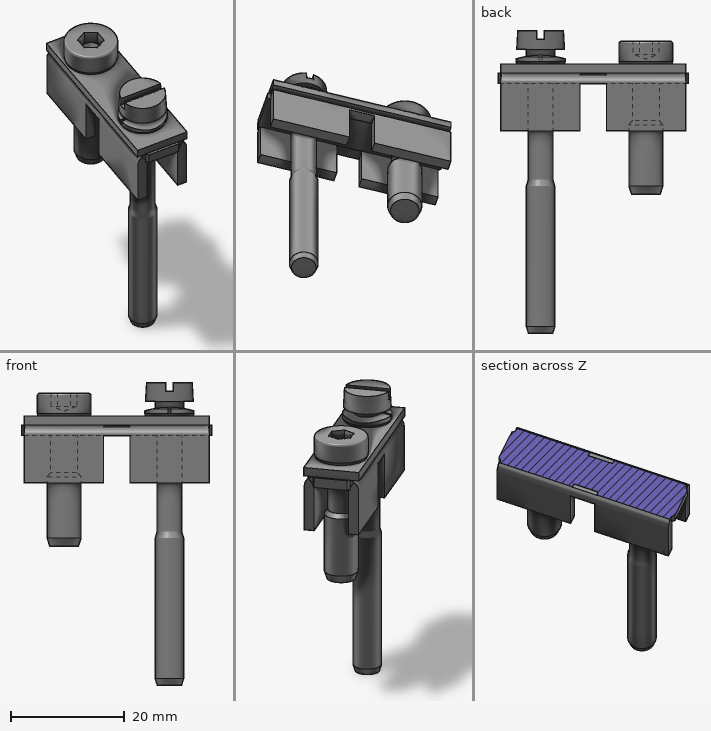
import cadquery as cq
import math


plate_length = 32.6
plate_width = 10.0
plate_thickness = 1.6

channel_width = 9.85
sheet_thickness = 1.8
bend_radius = 1.9
leg_bottom = -11.8
leg_gap = 4.6
channel_top = -plate_thickness
web_bottom = channel_top - sheet_thickness
bend_bottom = channel_top - bend_radius
inner_half_width = channel_width / 2 - sheet_thickness

overall_length = 33.5
tab_end_width = 5.95
tab_base_width = 6.7
corner_relief_reach = 0.15
corner_relief_half_width = 4.35
middle_relief_depth = 0.3
middle_relief_end_taper = 0.15

screw_offset = 9.3

socket_head_diameter = 9.55
socket_head_height = 4.05
socket_head_fillet = 0.55
socket_head_foot_height = 0.5
socket_head_foot_inset = 0.15
hex_across_flats = 4.0
hex_depth = 2.4
hex_cone_depth = 0.8
socket_neck_diameter = 4.75
socket_neck_end = -9.95
socket_shank_diameter = 6.0
socket_shank_start = -10.75
socket_tip_start = -21.55
socket_tip_diameter = 5.05
socket_screw_end = -22.95

overall_height = 53.3
slot_head_top = 5.85
slot_head_bottom = 2.55
slot_head_top_diameter = 8.1
slot_head_bottom_diameter = 8.5
slot_width = 1.3
slot_depth = 1.5
slot_shank_diameter = 5.05
slot_neck_diameter = 4.4
slot_neck_end = -20.4
slot_shank_start = -21.55
slot_tip_height = 1.15
slot_tip_diameter = 4.3
slot_screw_end = slot_head_top - overall_height

washer_diameter = 8.75
washer_foot_diameter = 8.3
washer_crown_diameter = 5.55
washer_rim_bottom = 0.4
washer_rim_top = 1.2
washer_side_height = 0.9
washer_height = 1.55
washer_split = 0.5


def revolve_profile(points, x):
    """Solid of revolution about the vertical axis at x, from (radius, z) points."""
    profile = cq.Workplane("XZ").polyline(points).close()
    return profile.revolve(360, (0, 0, 0), (0, 1, 0)).translate((x, 0, 0))


def make_plate():
    plate = cq.Workplane("XY").rect(plate_length, plate_width)
    return plate.extrude(-plate_thickness)


def make_channel():
    """U-shaped strip with rounded outer bends, sharp inner corners and a gap in both legs."""
    half_width = channel_width / 2
    bend_start = half_width - bend_radius
    mid_bend_y = bend_start + bend_radius * math.sqrt(0.5)
    mid_bend_z = bend_bottom + bend_radius * math.sqrt(0.5)
    channel = (
        cq.Workplane("YZ")
        .moveTo(-half_width, leg_bottom)
        .lineTo(-half_width, bend_bottom)
        .threePointArc((-mid_bend_y, mid_bend_z), (-bend_start, channel_top))
        .lineTo(bend_start, channel_top)
        .threePointArc((mid_bend_y, mid_bend_z), (half_width, bend_bottom))
        .lineTo(half_width, leg_bottom)
        .lineTo(inner_half_width, leg_bottom)
        .lineTo(inner_half_width, web_bottom)
        .lineTo(-inner_half_width, web_bottom)
        .lineTo(-inner_half_width, leg_bottom)
        .close()
        .extrude(plate_length / 2, both=True)
    )
    gap_height = bend_bottom - leg_bottom
    gap = cq.Workplane("XY", origin=(0, 0, leg_bottom)).rect(leg_gap, channel_width).extrude(gap_height)
    return channel.cut(gap)


def make_tab():
    """Tapered tab at the +X end of the web."""
    base_x = plate_length / 2
    end_x = overall_length / 2
    outline = [
        (0, -tab_end_width / 2),
        (base_x, -tab_base_width / 2),
        (end_x, -tab_end_width / 2),
        (end_x, tab_end_width / 2),
        (base_x, tab_base_width / 2),
        (0, tab_end_width / 2),
    ]
    tab = cq.Workplane("XY", origin=(0, 0, channel_top)).polyline(outline).close()
    return tab.extrude(-sheet_thickness)


def make_corner_relief():
    """Cut at the +X, +Y corner: a thin wedge off the end of the bend, above a sloped line."""
    base_x = plate_length / 2
    base_y = tab_base_width / 2
    wedge = (
        cq.Workplane("XY", origin=(0, 0, web_bottom))
        .moveTo(base_x, base_y)
        .lineTo(base_x, corner_relief_half_width)
        .lineTo(base_x - corner_relief_reach, corner_relief_half_width)
        .close()
        .extrude(sheet_thickness)
    )
    above_slope = (
        cq.Workplane("YZ")
        .moveTo(inner_half_width, web_bottom)
        .lineTo(corner_relief_half_width, channel_top)
        .lineTo(inner_half_width, channel_top)
        .close()
        .extrude(plate_length)
    )
    return wedge.intersect(above_slope)


def make_middle_relief():
    """Shallow step along the top of the +Y bend, between the legs."""
    half_length = leg_gap / 2
    floor = channel_top - middle_relief_depth
    outline = [
        (-half_length, floor),
        (half_length, floor),
        (half_length - middle_relief_end_taper, channel_top),
        (-half_length + middle_relief_end_taper, channel_top),
    ]
    step = cq.Workplane("XZ", origin=(0, tab_base_width / 2, 0)).polyline(outline).close()
    return step.extrude(-sheet_thickness)


def make_bridge():
    bridge = make_channel()
    tab = make_tab()
    bridge = bridge.union(tab).union(tab.mirror("YZ"))
    corner = make_corner_relief()
    corner_pair = corner.union(corner.mirror("XZ"))
    step = make_middle_relief()
    for relief in (corner_pair, corner_pair.mirror("YZ"), step, step.mirror("XZ")):
        bridge = bridge.cut(relief)
    return bridge


def make_socket_screw(x):
    head_radius = socket_head_diameter / 2
    foot_radius = head_radius - socket_head_foot_inset
    neck_radius = socket_neck_diameter / 2
    shank_radius = socket_shank_diameter / 2
    screw = revolve_profile(
        [
            (0, socket_head_height),
            (head_radius, socket_head_height),
            (head_radius, socket_head_foot_height),
            (foot_radius, 0),
            (neck_radius, 0),
            (neck_radius, socket_neck_end),
            (shank_radius, socket_shank_start),
            (shank_radius, socket_tip_start),
            (socket_tip_diameter / 2, socket_screw_end),
            (0, socket_screw_end),
        ],
        x,
    )
    screw = screw.faces(">Z").edges().fillet(socket_head_fillet)

    hex_across_corners = hex_across_flats / math.cos(math.pi / 6)
    hex_floor = socket_head_height - hex_depth
    socket = (
        cq.Workplane("XY", origin=(x, 0, hex_floor))
        .polygon(6, hex_across_corners)
        .extrude(hex_depth)
    )
    cone = revolve_profile(
        [
            (0, hex_floor),
            (hex_across_flats / 2, hex_floor),
            (0, hex_floor - hex_cone_depth),
        ],
        x,
    )
    return screw.cut(socket).cut(cone)


def make_slotted_screw(x):
    shank_radius = slot_shank_diameter / 2
    neck_radius = slot_neck_diameter / 2
    screw = revolve_profile(
        [
            (0, slot_head_top),
            (slot_head_top_diameter / 2, slot_head_top),
            (slot_head_bottom_diameter / 2, slot_head_bottom),
            (shank_radius, slot_head_bottom),
            (shank_radius, 0),
            (neck_radius, 0),
            (neck_radius, slot_neck_end),
            (shank_radius, slot_shank_start),
            (shank_radius, slot_screw_end + slot_tip_height),
            (slot_tip_diameter / 2, slot_screw_end),
            (0, slot_screw_end),
        ],
        x,
    )
    slot = (
        cq.Workplane("XY", origin=(x, 0, slot_head_top))
        .rect(slot_width, slot_head_bottom_diameter)
        .extrude(-slot_depth)
    )
    return screw.cut(slot)


def make_washer(x):
    """Spring washer with a conical crown, arched along X and split on its -Y side."""
    bore_radius = slot_shank_diameter / 2
    rim_radius = washer_diameter / 2
    washer = revolve_profile(
        [
            (bore_radius, 0),
            (washer_foot_diameter / 2, 0),
            (rim_radius, washer_rim_bottom),
            (rim_radius, washer_rim_top),
            (washer_crown_diameter / 2, washer_height),
            (bore_radius, washer_height),
        ],
        x,
    )
    arch = (
        cq.Workplane("XZ", origin=(x, 0, 0))
        .moveTo(-rim_radius, 0)
        .lineTo(-rim_radius, washer_side_height)
        .threePointArc((0, washer_height), (rim_radius, washer_side_height))
        .lineTo(rim_radius, 0)
        .close()
        .extrude(rim_radius, both=True)
    )
    split = (
        cq.Workplane("XY", origin=(x, -rim_radius / 2, 0))
        .rect(washer_split, rim_radius)
        .extrude(washer_height)
    )
    return washer.intersect(arch).cut(split)


result = (
    make_plate()
    .union(make_bridge())
    .union(make_socket_screw(-screw_offset))
    .union(make_slotted_screw(screw_offset))
    .union(make_washer(screw_offset))
)